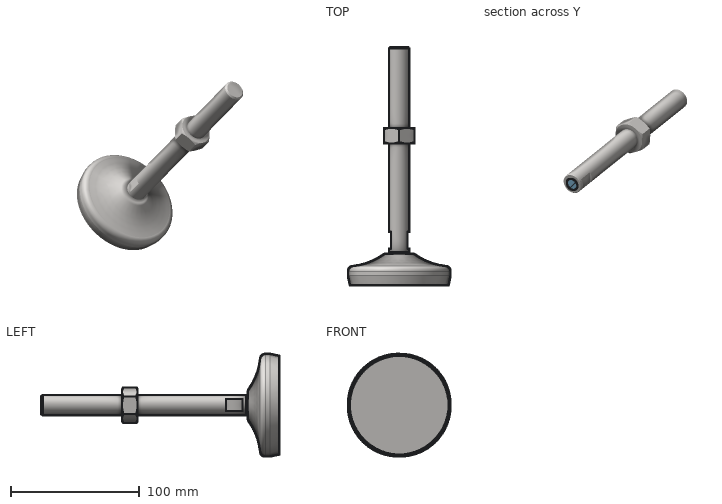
import cadquery as cq
import math


total_length = 185.0
base_diameter = 80.0

base_radius = base_diameter / 2
underside_radius = 38.4
rim_bottom = 7.4
rim_top = 10.6
shoulder_radius = 4.5
hub_edge_radius = 12.2
hub_edge_height = 23.95
hub_flat_radius = 10.15
base_height = 24.6

stud_diameter = 16.0
stud_radius = stud_diameter / 2
neck_diameter = 10.0
neck_radius = neck_diameter / 2
stud_bottom = 25.6
stud_bottom_chamfer = 0.4
stud_tip_chamfer = 1.25

flats_width = 13.0
flats_bottom = 28.5
flats_length = 13.0

nut_across_flats = 24.0
hexagon_half_angle = math.pi / 6
nut_across_corners = nut_across_flats / math.cos(hexagon_half_angle)
nut_bottom = 110.0
nut_height = 12.3
nut_chamfer_angle = 30.0
nut_chamfer_radius = nut_across_flats / 2


def revolve_about_y(outline):
    return outline.close().revolve(360, (0, 0, 0), (0, 1, 0))


def make_base():
    shoulder_top = (base_radius - shoulder_radius, rim_top + shoulder_radius)
    outline = (
        cq.Workplane("XY")
        .moveTo(0, base_height)
        .lineTo(hub_flat_radius, base_height)
        .tangentArcPoint((hub_edge_radius, hub_edge_height), relative=False)
        .tangentArcPoint(shoulder_top, relative=False)
        .radiusArc((base_radius, rim_top), shoulder_radius)
        .lineTo(base_radius, rim_bottom)
        .lineTo(underside_radius, 0)
        .lineTo(0, 0)
    )
    return revolve_about_y(outline)


def make_stud():
    outline = (
        cq.Workplane("XY")
        .moveTo(0, base_height)
        .lineTo(neck_radius, base_height)
        .lineTo(neck_radius, stud_bottom)
        .lineTo(stud_radius - stud_bottom_chamfer, stud_bottom)
        .lineTo(stud_radius, stud_bottom + stud_bottom_chamfer)
        .lineTo(stud_radius, total_length - stud_tip_chamfer)
        .lineTo(stud_radius - stud_tip_chamfer, total_length)
        .lineTo(0, total_length)
    )
    return revolve_about_y(outline)


def cut_flats(stud):
    for side in (-1, 1):
        cutter = cq.Workplane("XY").box(stud_diameter, flats_length, stud_diameter)
        offset = side * (flats_width + stud_diameter) / 2
        stud = stud.cut(cutter.translate((offset, flats_bottom + flats_length / 2, 0)))
    return stud


def make_nut():
    hexagon = (
        cq.Workplane("XZ", origin=(0, nut_bottom, 0))
        .transformed(rotate=(0, 0, 90))
        .polygon(6, nut_across_corners)
        .extrude(-nut_height)
    )
    corner_radius = nut_across_corners / 2
    corner_drop = (corner_radius - nut_chamfer_radius) * math.tan(math.radians(nut_chamfer_angle))
    nut_top = nut_bottom + nut_height
    chamfer_envelope = revolve_about_y(
        cq.Workplane("XY")
        .moveTo(0, nut_bottom)
        .lineTo(nut_chamfer_radius, nut_bottom)
        .lineTo(corner_radius, nut_bottom + corner_drop)
        .lineTo(corner_radius, nut_top - corner_drop)
        .lineTo(nut_chamfer_radius, nut_top)
        .lineTo(0, nut_top)
    )
    return hexagon.intersect(chamfer_envelope)


result = make_base().union(cut_flats(make_stud())).union(make_nut())